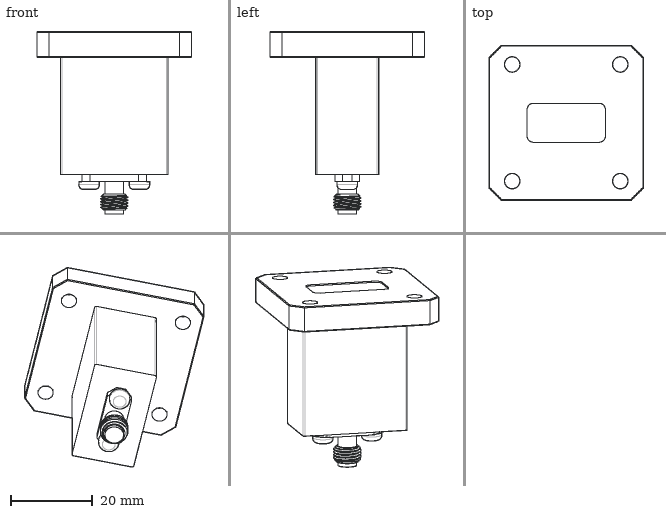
import cadquery as cq
import math

TOTAL_LENGTH = 44.65

FLANGE_SIDE = 37.9
FLANGE_THICKNESS = 6.35
FLANGE_CORNER_CHAMFER = 3.05
FLANGE_RIM_CHAMFER = 0.22
BOLT_HOLE_DIAMETER = 3.7
BOLT_SPACING_X = 26.45
BOLT_SPACING_Y = 28.55

WINDOW_LENGTH = 19.2
WINDOW_WIDTH = 9.55
WINDOW_CORNER_RADIUS = 1.6
WINDOW_DEPTH = 0.3

BODY_LENGTH_X = 26.4
BODY_LENGTH_Y = 15.5
BODY_HEIGHT = 28.65
BODY_EDGE_RADIUS = 0.45

PLATE_LENGTH = 15.8
PLATE_WIDTH = 6.07
PLATE_THICKNESS = 1.75
PLATE_CORNER_CHAMFER = 1.9

SCREW_SPACING = 12.32
SCREW_HEAD_DIAMETER = 5.05
SCREW_HEAD_HEIGHT = 1.88
SCREW_RIM_HEIGHT = 0.63
SCREW_END_DIAMETER = 3.13

BARREL_DIAMETER = 4.65
BARREL_TIP_LENGTH = 0.95
THREAD_LENGTH = 3.97
THREAD_CREST_DIAMETER = 6.8
THREAD_ROOT_DIAMETER = 5.7
THREAD_END_DIAMETER = 5.22
THREAD_PITCH = 0.7
THREAD_BASE_WIDTH = 0.65
THREAD_OVERLAP = 0.1
THREAD_START_ANGLE = 50

BODY_TOP = -FLANGE_THICKNESS
BODY_BOTTOM = BODY_TOP - BODY_HEIGHT
PLATE_BOTTOM = BODY_BOTTOM - PLATE_THICKNESS
THREAD_BOTTOM = BARREL_TIP_LENGTH - TOTAL_LENGTH
THREAD_TOP = THREAD_BOTTOM + THREAD_LENGTH


def make_block(length_x, length_y, height, bottom):
    """Upright rectangular block centred on the axis."""
    return cq.Workplane("XY").workplane(offset=bottom).rect(length_x, length_y).extrude(height)


def make_flange():
    flange = make_block(FLANGE_SIDE, FLANGE_SIDE, FLANGE_THICKNESS, BODY_TOP)
    flange = flange.edges("|Z").chamfer(FLANGE_CORNER_CHAMFER)
    flange = flange.faces("<Z or >Z").edges().chamfer(FLANGE_RIM_CHAMFER)
    bolt_holes = (
        cq.Workplane("XY")
        .rect(BOLT_SPACING_X, BOLT_SPACING_Y, forConstruction=True)
        .vertices()
        .circle(BOLT_HOLE_DIAMETER / 2)
        .extrude(-FLANGE_THICKNESS)
    )
    window = (
        cq.Workplane("XY")
        .rect(WINDOW_LENGTH, WINDOW_WIDTH)
        .extrude(-WINDOW_DEPTH)
        .edges("|Z")
        .fillet(WINDOW_CORNER_RADIUS)
    )
    return flange.cut(bolt_holes).cut(window)


def make_screw_head(center_x):
    """Domed head: a short cylindrical rim, then an arc in to a flat end."""
    rim_radius = SCREW_HEAD_DIAMETER / 2
    end_radius = SCREW_END_DIAMETER / 2
    dome_width = rim_radius - end_radius
    dome_height = SCREW_HEAD_HEIGHT - SCREW_RIM_HEIGHT
    arc_middle = (
        end_radius + dome_width * math.cos(math.pi / 4),
        -SCREW_RIM_HEIGHT - dome_height * math.sin(math.pi / 4),
    )
    return (
        cq.Workplane("XZ")
        .lineTo(rim_radius, 0)
        .lineTo(rim_radius, -SCREW_RIM_HEIGHT)
        .threePointArc(arc_middle, (end_radius, -SCREW_HEAD_HEIGHT))
        .lineTo(0, -SCREW_HEAD_HEIGHT)
        .close()
        .revolve(360, (0, 0, 0), (0, 1, 0))
        .translate((center_x, 0, PLATE_BOTTOM))
    )


def make_thread():
    """Right-hand V thread on a core, with both ends trimmed at 45 degrees."""
    crest_radius = THREAD_CREST_DIAMETER / 2
    root_radius = THREAD_ROOT_DIAMETER / 2
    turns = math.ceil(THREAD_LENGTH / THREAD_PITCH) + 1
    ridge_length = turns * THREAD_PITCH
    ridge_start = THREAD_TOP + THREAD_PITCH - ridge_length

    inner_radius = root_radius - THREAD_OVERLAP
    helix = cq.Wire.makeHelix(THREAD_PITCH, ridge_length, inner_radius)
    half_base = THREAD_BASE_WIDTH / 2
    ridge = (
        cq.Workplane("XZ")
        .polyline([(inner_radius, -half_base), (crest_radius, 0), (inner_radius, half_base)])
        .close()
        .sweep(cq.Workplane(obj=helix), isFrenet=True)
        .rotate((0, 0, 0), (0, 0, 1), THREAD_START_ANGLE)
        .translate((0, 0, ridge_start))
    )
    core = (
        cq.Workplane("XY").workplane(offset=THREAD_BOTTOM).circle(root_radius).extrude(THREAD_LENGTH)
    )
    envelope_radius = crest_radius + THREAD_OVERLAP
    end_chamfer = envelope_radius - THREAD_END_DIAMETER / 2
    envelope = (
        cq.Workplane("XY")
        .workplane(offset=THREAD_BOTTOM)
        .circle(envelope_radius)
        .extrude(THREAD_LENGTH)
        .edges()
        .chamfer(end_chamfer)
    )
    return core.union(ridge).intersect(envelope)


def make_barrel():
    barrel_length = TOTAL_LENGTH + PLATE_BOTTOM
    return (
        cq.Workplane("XY")
        .workplane(offset=PLATE_BOTTOM)
        .circle(BARREL_DIAMETER / 2)
        .extrude(-barrel_length)
    )


body = make_block(BODY_LENGTH_X, BODY_LENGTH_Y, BODY_HEIGHT, BODY_BOTTOM)
body = body.edges("|Z").fillet(BODY_EDGE_RADIUS)

plate = make_block(PLATE_LENGTH, PLATE_WIDTH, PLATE_THICKNESS, PLATE_BOTTOM)
plate = plate.edges("|Z").chamfer(PLATE_CORNER_CHAMFER)

result = make_flange().union(body).union(plate)
for side in (-1, 1):
    result = result.union(make_screw_head(side * SCREW_SPACING / 2))
result = result.union(make_barrel()).union(make_thread())